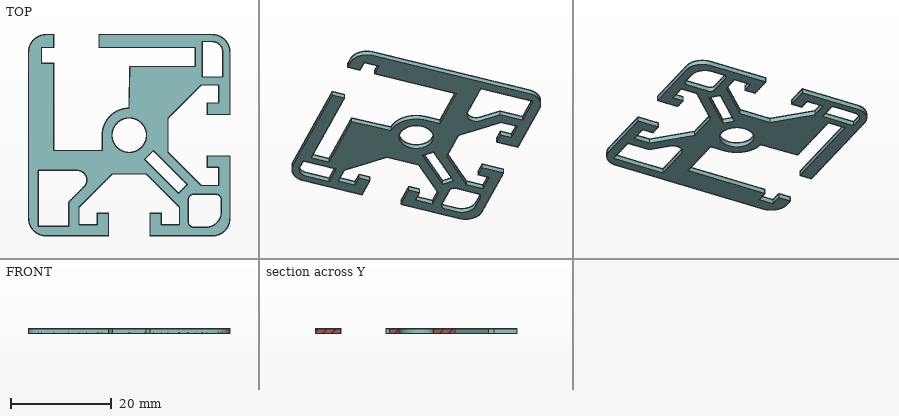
import cadquery as cq
import math

SIDE = 40.0
THICKNESS = 1.0
HALF = SIDE / 2
CORNER_RADIUS = 3.5

BORE_RADIUS = 3.4
BORE_WALL_RADIUS = 5.4
BORE_WALL_END_X = -0.1

SLOT_MOUTH_HALF_WIDTH = 4.1
SLOT_LIP_WIDTH = 2.3
SLOT_LIP_DEPTH = 4.55
SLOT_OUTER_WALL = 2.25
SLOT_HALF_WIDTH = 9.95
SLOT_FLOOR = 7.7
SLOT_FLOOR_HALF_WIDTH = 3.35

CAVITY_LEFT = -14.95
CAVITY_BOTTOM = -3.0
MOUTH_RIGHT = -6.05
TOP_WALL = 2.6
LEFT_NOTCH_X = -17.4
LEFT_NOTCH_BOTTOM = 14.3
CAVITY_RIGHT = 13.05
SHELF_Y = 13.65
SHELF_LEFT = 0.1

UPPER_POCKET_LEFT = 14.5
UPPER_POCKET_BOTTOM = 11.6
UPPER_POCKET_WALL = 1.45
UPPER_POCKET_RADIUS = CORNER_RADIUS - UPPER_POCKET_WALL

SQUARE_POCKET_SIDE = 6.5
SQUARE_POCKET_WALL = 1.75
SQUARE_POCKET_RADIUS = 1.0
SQUARE_POCKET_OUTER_RADIUS = 3.0

LOWER_POCKET_WALL = 1.95
LOWER_POCKET_TOP = -7.0
LOWER_POCKET_RIGHT = -12.05
LOWER_POCKET_SLOPE_START = -13.3
LOWER_POCKET_RADIUS = 1.9

WINDOW_LENGTH = 9.5
WINDOW_WIDTH = 2.4
WINDOW_CENTRE_DISTANCE = 10.3
WINDOW_ANGLE = -45.0


def extrude(outline):
    """Extrude a closed outline through the full thickness."""
    return outline.extrude(THICKNESS)


def rounded_plate():
    plate = cq.Workplane("XY").rect(SIDE, SIDE)
    return extrude(plate).edges("|Z").fillet(CORNER_RADIUS)


def t_slot():
    """T-slot opening to +X, symmetric about the X axis."""
    lip_end = HALF - SLOT_LIP_DEPTH
    lip_back = SLOT_MOUTH_HALF_WIDTH + SLOT_LIP_WIDTH
    undercut = HALF - SLOT_OUTER_WALL
    slope_end = SLOT_FLOOR + SLOT_HALF_WIDTH - SLOT_FLOOR_HALF_WIDTH
    upper_half = [
        (HALF, SLOT_MOUTH_HALF_WIDTH),
        (lip_end, SLOT_MOUTH_HALF_WIDTH),
        (lip_end, lip_back),
        (undercut, lip_back),
        (undercut, SLOT_HALF_WIDTH),
        (slope_end, SLOT_HALF_WIDTH),
        (SLOT_FLOOR, SLOT_FLOOR_HALF_WIDTH),
    ]
    lower_half = [(x, -y) for x, y in reversed(upper_half)]
    return extrude(cq.Workplane("XY").polyline(upper_half + lower_half).close())


def open_cavity():
    """Cavity open to +Y, running round the bore wall and under the top wall."""
    lip_bottom = HALF - TOP_WALL
    arc_diagonal = BORE_WALL_RADIUS * math.sqrt(0.5)
    arc_end_y = math.sqrt(BORE_WALL_RADIUS**2 - BORE_WALL_END_X**2)
    outline = (
        cq.Workplane("XY")
        .moveTo(CAVITY_LEFT, HALF)
        .lineTo(CAVITY_LEFT, lip_bottom)
        .lineTo(LEFT_NOTCH_X, lip_bottom)
        .lineTo(LEFT_NOTCH_X, LEFT_NOTCH_BOTTOM)
        .lineTo(CAVITY_LEFT, LEFT_NOTCH_BOTTOM)
        .lineTo(CAVITY_LEFT, CAVITY_BOTTOM)
        .lineTo(-BORE_WALL_RADIUS, CAVITY_BOTTOM)
        .lineTo(-BORE_WALL_RADIUS, 0)
        .threePointArc((-arc_diagonal, arc_diagonal), (BORE_WALL_END_X, arc_end_y))
        .lineTo(SHELF_LEFT, SHELF_Y)
        .lineTo(CAVITY_RIGHT, SHELF_Y)
        .lineTo(CAVITY_RIGHT, lip_bottom)
        .lineTo(MOUTH_RIGHT, lip_bottom)
        .lineTo(MOUTH_RIGHT, HALF)
        .close()
    )
    return extrude(outline)


def upper_pocket():
    outer = HALF - UPPER_POCKET_WALL
    width = outer - UPPER_POCKET_LEFT
    height = outer - UPPER_POCKET_BOTTOM
    outline = (
        cq.Workplane("XY")
        .moveTo(UPPER_POCKET_LEFT, UPPER_POCKET_BOTTOM)
        .rect(width, height, centered=False)
    )
    return extrude(outline).edges("|Z and >X and >Y").fillet(UPPER_POCKET_RADIUS)


def square_pocket():
    centre = HALF - SQUARE_POCKET_WALL - SQUARE_POCKET_SIDE / 2
    outline = (
        cq.Workplane("XY")
        .center(centre, -centre)
        .rect(SQUARE_POCKET_SIDE, SQUARE_POCKET_SIDE)
    )
    pocket = extrude(outline)
    pocket = pocket.edges("|Z and (<X or >Y)").fillet(SQUARE_POCKET_RADIUS)
    return pocket.edges(">(1,-1,0)").edges("|Z").fillet(SQUARE_POCKET_OUTER_RADIUS)


def lower_pocket():
    outer = LOWER_POCKET_WALL - HALF
    tip_x = LOWER_POCKET_RIGHT + LOWER_POCKET_TOP - LOWER_POCKET_SLOPE_START
    outline = [
        (outer, outer),
        (LOWER_POCKET_RIGHT, outer),
        (LOWER_POCKET_RIGHT, LOWER_POCKET_SLOPE_START),
        (tip_x, LOWER_POCKET_TOP),
        (outer, LOWER_POCKET_TOP),
    ]
    pocket = extrude(cq.Workplane("XY").polyline(outline).close())
    return pocket.edges("|Z and >X").fillet(LOWER_POCKET_RADIUS)


def diagonal_window():
    outline = cq.Workplane("XY").center(WINDOW_CENTRE_DISTANCE, 0).rect(WINDOW_LENGTH, WINDOW_WIDTH)
    return extrude(outline).rotate((0, 0, 0), (0, 0, 1), WINDOW_ANGLE)


def bore():
    return extrude(cq.Workplane("XY").circle(BORE_RADIUS))


right_slot = t_slot()
bottom_slot = right_slot.rotate((0, 0, 0), (0, 0, 1), -90)

cutouts = [
    right_slot,
    bottom_slot,
    open_cavity(),
    upper_pocket(),
    square_pocket(),
    lower_pocket(),
    diagonal_window(),
    bore(),
]

result = rounded_plate()
for cutout in cutouts:
    result = result.cut(cutout)